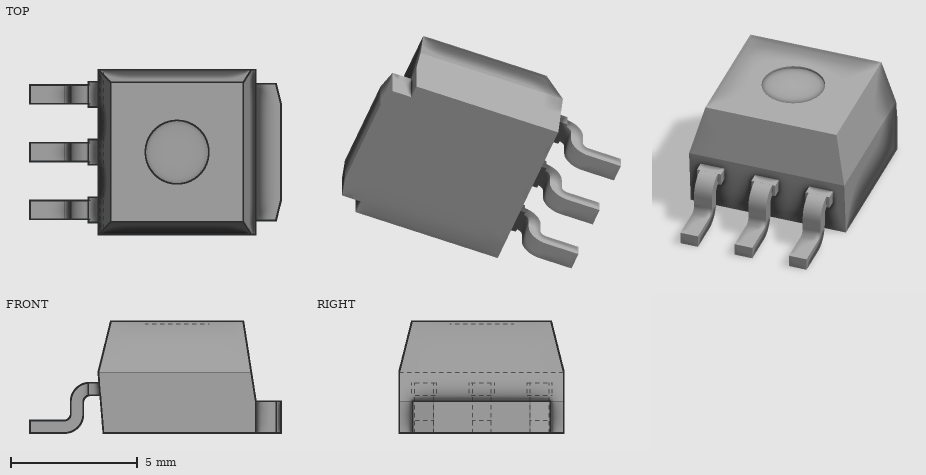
import cadquery as cq

overall_length = 9.9

body_width = 6.5
body_height = 4.42
seam_height = 2.41
body_base_left = 2.89
body_seam_left = 2.69
body_top_left = 3.19
body_top_right = 8.415
body_right = 8.91
side_inset = 0.5

recess_diameter = 2.5
recess_depth = 0.1

tab_height = 1.26
tab_width = 5.41
tab_end_width = 3.82
tab_taper_length = 0.2

lead_count = 3
lead_pitch = 2.28
lead_width = 0.74
lead_thickness = 0.5
lead_top = 1.99
lead_riser_left = 1.6
bend_inner_radius = 0.25
bend_outer_radius = bend_inner_radius + lead_thickness
shoulder_width = 1.0
shoulder_left = 2.31


def make_body():
    """Body with a sloping end profile and sides that lean in above the seam."""
    end_profile = (
        cq.Workplane("XZ")
        .moveTo(body_base_left, 0)
        .lineTo(body_seam_left, seam_height)
        .lineTo(body_top_left, body_height)
        .lineTo(body_top_right, body_height)
        .lineTo(body_right, tab_height)
        .lineTo(body_right, 0)
        .close()
        .extrude(body_width / 2, both=True)
    )
    half_width = body_width / 2
    half_top = half_width - side_inset
    side_profile = (
        cq.Workplane("YZ")
        .moveTo(-half_width, 0)
        .lineTo(-half_width, seam_height)
        .lineTo(-half_top, body_height)
        .lineTo(half_top, body_height)
        .lineTo(half_width, seam_height)
        .lineTo(half_width, 0)
        .close()
        .extrude(overall_length)
    )
    return end_profile.intersect(side_profile)


def make_recess():
    """Shallow round pocket centred on the top face."""
    return (
        cq.Workplane("XY", origin=(0, 0, body_height - recess_depth))
        .center((body_top_left + body_top_right) / 2, 0)
        .circle(recess_diameter / 2)
        .extrude(recess_depth)
    )


def make_tab():
    """Tab plate whose outer corners are cut at a slant; its root is inside the body."""
    root = (body_top_left + body_top_right) / 2
    taper_start = overall_length - tab_taper_length
    return (
        cq.Workplane("XY")
        .moveTo(root, -tab_width / 2)
        .lineTo(taper_start, -tab_width / 2)
        .lineTo(overall_length, -tab_end_width / 2)
        .lineTo(overall_length, tab_end_width / 2)
        .lineTo(taper_start, tab_width / 2)
        .lineTo(root, tab_width / 2)
        .close()
        .extrude(tab_height)
    )


def make_lead(y_center):
    """S-shaped lead with a wider shoulder where it enters the body."""
    riser_right = lead_riser_left + lead_thickness
    lower_bend_start = lead_riser_left - bend_inner_radius
    upper_bend_end = riser_right + bend_inner_radius
    upper_bend_start = lead_top - bend_outer_radius
    root = body_top_left
    strip = (
        cq.Workplane("XZ", origin=(0, y_center, 0))
        .moveTo(0, 0)
        .lineTo(lower_bend_start, 0)
        .radiusArc((riser_right, bend_outer_radius), -bend_outer_radius)
        .lineTo(riser_right, upper_bend_start)
        .radiusArc((upper_bend_end, lead_top - lead_thickness), bend_inner_radius)
        .lineTo(root, lead_top - lead_thickness)
        .lineTo(root, lead_top)
        .lineTo(upper_bend_end, lead_top)
        .radiusArc((lead_riser_left, upper_bend_start), -bend_outer_radius)
        .lineTo(lead_riser_left, bend_outer_radius)
        .radiusArc((lower_bend_start, lead_thickness), bend_inner_radius)
        .lineTo(0, lead_thickness)
        .close()
        .extrude(lead_width / 2, both=True)
    )
    shoulder = cq.Workplane("XY").box(
        root - shoulder_left, shoulder_width, lead_thickness, centered=(False, True, False)
    )
    shoulder_bottom = lead_top - lead_thickness
    return strip.union(shoulder.translate((shoulder_left, y_center, shoulder_bottom)))


result = make_body().cut(make_recess()).union(make_tab())
for index in range(lead_count):
    lead_y = (index - (lead_count - 1) / 2) * lead_pitch
    result = result.union(make_lead(lead_y))